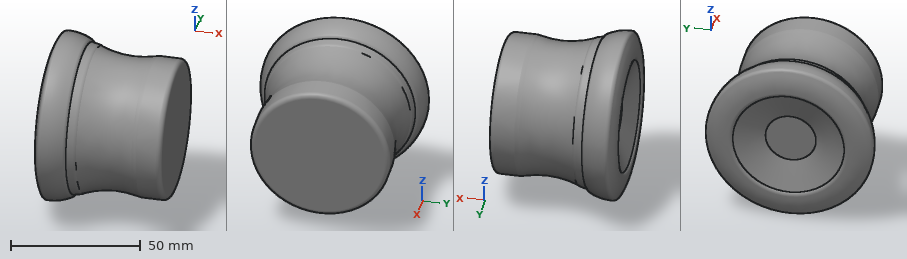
import cadquery as cq
import math

total_length = 50.0
rim_radius = 33.0
barrel_radius = 55.0 / 2

rim_back = 13.05
bore_radius = 21.8
crest_radius = 23.4
bore_edge_x = 0.8
face_end_x = 2.05
face_end_radius = 32.1
face_bulge_radius = 16.5
rim_peak_x = 3.8
shoulder_x = 12.0
shoulder_radius = 30.9

dish_depth = 5.3
dish_floor_radius = 9.9
neck_front_radius = 29.7
neck_end_x = 15.7
neck_end_radius = 29.15
waist_start_x = 16.8
waist_start_radius = 28.6
waist_x = 29.35
waist_radius = 26.2
waist_end_x = 38.3
waist_end_radius = 27.2
barrel_start_x = 40.15
barrel_edge_round = 2.0


def revolve_about_x(profile):
    """Turn a closed profile, drawn as (x, radius), fully about the X axis."""
    return profile.close().revolve(360, (0, 0, 0), (1, 0, 0))


def bulged_point(start, end, radius):
    """Middle point of an arc of this radius, bulging to the left of start-to-end."""
    dx = end[0] - start[0]
    dy = end[1] - start[1]
    chord = math.hypot(dx, dy)
    bulge = radius - math.sqrt(radius**2 - (chord / 2) ** 2)
    middle_x = (start[0] + end[0]) / 2
    middle_y = (start[1] + end[1]) / 2
    return (middle_x - bulge * dy / chord, middle_y + bulge * dx / chord)


def make_rim():
    """Ring with a bulged front, a rounded crest and a curved outer side."""
    crest = (0, crest_radius)
    face_end = (face_end_x, face_end_radius)
    face_middle = bulged_point(crest, face_end, face_bulge_radius)
    crest_drop = crest_radius - bore_radius
    crest_round = (bore_edge_x**2 + crest_drop**2) / (2 * bore_edge_x)
    side_run = shoulder_x - rim_peak_x
    side_drop = rim_radius - shoulder_radius
    side_arc_radius = (side_run**2 + side_drop**2) / (2 * side_drop)
    peak = (rim_peak_x, rim_radius)
    shoulder = (shoulder_x, shoulder_radius)
    profile = (
        cq.Workplane("XY")
        .moveTo(bore_edge_x, bore_radius)
        .radiusArc(crest, crest_round)
        .threePointArc(face_middle, face_end)
        .tangentArcPoint(peak, relative=False)
        .threePointArc(bulged_point(peak, shoulder, side_arc_radius), shoulder)
        .tangentArcPoint((rim_back, neck_front_radius), relative=False)
        .lineTo(rim_back, bore_radius)
    )
    return revolve_about_x(profile)


def make_knob():
    """Waisted knob whose nose fills the rim bore and carries the conical dish."""
    profile = (
        cq.Workplane("XY")
        .moveTo(dish_depth, 0)
        .lineTo(dish_depth, dish_floor_radius)
        .lineTo(bore_edge_x, bore_radius)
        .lineTo(rim_back, bore_radius)
        .lineTo(rim_back, neck_front_radius)
        .lineTo(neck_end_x, neck_end_radius)
        .tangentArcPoint((waist_start_x, waist_start_radius), relative=False)
        .threePointArc((waist_x, waist_radius), (waist_end_x, waist_end_radius))
        .tangentArcPoint((barrel_start_x, barrel_radius), relative=False)
        .lineTo(total_length - barrel_edge_round, barrel_radius)
        .radiusArc((total_length, barrel_radius - barrel_edge_round), barrel_edge_round)
        .lineTo(total_length, 0)
    )
    return revolve_about_x(profile)


rim = make_rim()
knob = make_knob()

result = cq.Compound.makeCompound([rim.val(), knob.val()])